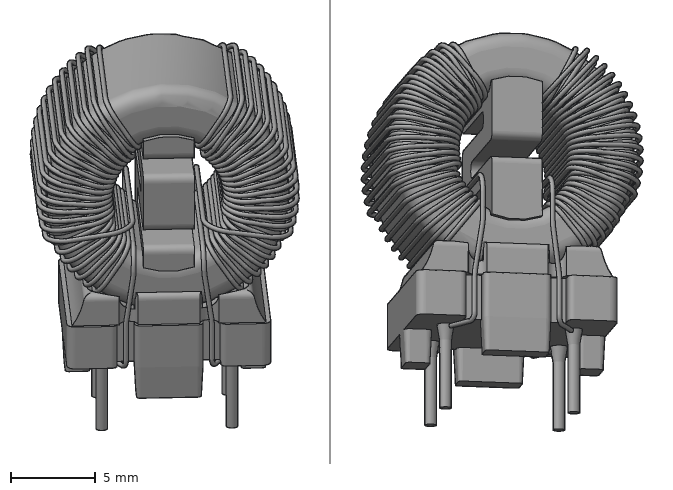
import cadquery as cq
import math


TURN_ABOUT_Z = -22.0
TOTAL_HEIGHT = 22.45

CORE_RADIUS = 14.3 / 2
BORE_RADIUS = 7.7 / 2
CORE_LENGTH = 9.5
CORE_FILLET = 1.0
AXIS_Z = TOTAL_HEIGHT - CORE_RADIUS
HALF_CORE = CORE_LENGTH / 2

BASE_BOTTOM = 5.0
BASE_TOP = 7.68
BASE_LENGTH = 10.6
BASE_WIDTH = 12.03
BASE_CORNER = 0.52
TAB_WIDTH = 4.05
TAB_CORNER = 0.34
SLOT_WIDTH = 1.03
SLOT_DEPTH = 1.0
SLOT_Y = (TAB_WIDTH + SLOT_WIDTH) / 2

FOOT_BOTTOM = 3.0
FOOT_TAPER = 3.0
END_FOOT_DEPTH = 1.66
SIDE_FOOT_LENGTH = 2.1
SIDE_FOOT_DEPTH = 1.66

PIN_RADIUS = 0.7 / 2
PIN_X = 2.5
PIN_Y = 3.85
SOLDER_RADIUS = 0.52
SOLDER_BOTTOM = 4.05

DIVIDER_LENGTH = 9.97
DIVIDER_THICKNESS = 3.0
DIVIDER_SLOT_HEIGHT = 1.0
DIVIDER_SLOT_DEPTH = 7.12
DIVIDER_LIP_RADIUS = 4.3
DIVIDER_SLOT_OFFSET = 2.27
SLOT_MOUTH_RADIUS = 0.45

GLUE_TOP = 9.59
GLUE_LENGTH = 10.2
GLUE_BOTTOM_WIDTH = 11.45
GLUE_TOP_WIDTH = 9.97
GLUE_TOP_FILLET = 0.4
GLUE_SAG = 0.13
CHANNEL_RADIUS = 0.56
CHANNEL_Y = 2.38

WIRE_RADIUS = 0.3 / 2
LAYER_GAP = 0.013
LAYER_STEP = 2 * WIRE_RADIUS + LAYER_GAP
INNER_TURNS = 22
INNER_START_ANGLE = -53.7
INNER_PITCH = 5.4
CROSSOVER_ANGLE = 62.2
OUTER_TURNS = 15
OUTER_START_ANGLE = 54.9
OUTER_PITCH = 5.2

LEAD_BEND = 1.23
LEAD_KINK_BEND = 3.37
LEAD_FOOT_BEND = 0.45
LEAD_KINK_Y = 2.09
LEAD_KINK_Z = 10.78
LEAD_BORE_Y = 2.09
LEAD_BORE_Z = 13.76
LEAD_FOOT_X = 4.92
LEAD_FOOT_Z = BASE_BOTTOM - WIRE_RADIUS


def make_core():
    ring = cq.Workplane("YZ", origin=(-HALF_CORE, 0, AXIS_Z))
    ring = ring.circle(CORE_RADIUS).circle(BORE_RADIUS).extrude(CORE_LENGTH)
    return ring.edges().fillet(CORE_FILLET)


def make_base():
    plate = (
        cq.Workplane("XY", origin=(0, 0, BASE_BOTTOM))
        .rect(BASE_LENGTH, BASE_WIDTH)
        .extrude(BASE_TOP - BASE_BOTTOM)
        .edges("|Z")
        .fillet(BASE_CORNER)
    )
    slots = (
        cq.Workplane("XY", origin=(0, 0, BASE_BOTTOM))
        .rect(BASE_LENGTH, 2 * SLOT_Y, forConstruction=True)
        .vertices()
        .rect(2 * SLOT_DEPTH, SLOT_WIDTH)
        .extrude(BASE_TOP - BASE_BOTTOM)
    )
    base = plate.cut(slots)
    middle_z = (BASE_BOTTOM + BASE_TOP) / 2
    for x in (-BASE_LENGTH / 2, BASE_LENGTH / 2):
        for slot_y in (-SLOT_Y, SLOT_Y):
            for edge_y in (slot_y - SLOT_WIDTH / 2, slot_y + SLOT_WIDTH / 2):
                mouth_edge = cq.NearestToPointSelector((x, edge_y, middle_z))
                base = base.edges(mouth_edge).fillet(TAB_CORNER)
    for side in (-1, 1):
        end_x = side * (BASE_LENGTH - END_FOOT_DEPTH) / 2
        side_y = side * (BASE_WIDTH - SIDE_FOOT_DEPTH) / 2
        base = base.union(make_foot(end_x, 0, END_FOOT_DEPTH, TAB_WIDTH))
        base = base.union(make_foot(0, side_y, SIDE_FOOT_LENGTH, SIDE_FOOT_DEPTH))
    return base


def make_foot(x, y, length, width):
    outline = cq.Sketch().rect(length, width).vertices().fillet(TAB_CORNER)
    foot = cq.Workplane("XY", origin=(x, y, BASE_BOTTOM)).placeSketch(outline)
    return foot.extrude(FOOT_BOTTOM - BASE_BOTTOM, taper=FOOT_TAPER)


def make_pin(x, y):
    """Round pin with a cone of solder at the underside of the base."""
    profile = [
        (0, 0),
        (PIN_RADIUS, 0),
        (PIN_RADIUS, SOLDER_BOTTOM),
        (SOLDER_RADIUS, BASE_BOTTOM),
        (0, BASE_BOTTOM),
    ]
    pin = cq.Workplane("XZ").polyline(profile).close().revolve(360, (0, 0, 0), (0, 1, 0))
    return pin.translate((x, y, 0))


def make_divider(core):
    """Plate across the bore, lipped over the core fillets and slotted from alternate ends."""
    plate = cq.Workplane("XY", origin=(0, 0, AXIS_Z))
    plate = plate.box(DIVIDER_LENGTH, DIVIDER_THICKNESS, 2 * DIVIDER_LIP_RADIUS)
    round_bar = cq.Workplane("YZ", origin=(-DIVIDER_LENGTH / 2, 0, AXIS_Z))
    round_bar = round_bar.circle(DIVIDER_LIP_RADIUS).extrude(DIVIDER_LENGTH)
    divider = plate.intersect(round_bar).cut(core)
    for end, height in ((-1, 0), (1, DIVIDER_SLOT_OFFSET), (1, -DIVIDER_SLOT_OFFSET)):
        divider = divider.cut(make_divider_slot(end, AXIS_Z + height))
    return divider


def make_divider_slot(end, z):
    """Slot with a full round floor and a rounded mouth, open towards the given end."""
    half = DIVIDER_SLOT_HEIGHT / 2
    mouth = half + SLOT_MOUTH_RADIUS
    face_x = end * DIVIDER_LENGTH / 2
    throat_x = face_x - end * SLOT_MOUTH_RADIUS
    floor_x = face_x - end * DIVIDER_SLOT_DEPTH
    blend = SLOT_MOUTH_RADIUS * (1 - math.sqrt(0.5))
    return (
        cq.Workplane("XZ", origin=(0, DIVIDER_THICKNESS / 2, 0))
        .moveTo(face_x, z + mouth)
        .threePointArc((face_x - end * blend, z + half + blend), (throat_x, z + half))
        .lineTo(floor_x + end * half, z + half)
        .threePointArc((floor_x, z), (floor_x + end * half, z - half))
        .lineTo(throat_x, z - half)
        .threePointArc((face_x - end * blend, z - half - blend), (face_x, z - mouth))
        .close()
        .extrude(DIVIDER_THICKNESS)
    )


def make_glue():
    """Glue bed with concave sides, moulded round the core and the lowest turns."""
    top = GLUE_TOP_WIDTH / 2
    bottom = GLUE_BOTTOM_WIDTH / 2
    middle = ((top + bottom) / 2 - GLUE_SAG, (BASE_TOP + GLUE_TOP) / 2)
    bed = (
        cq.Workplane("YZ", origin=(-GLUE_LENGTH / 2, 0, 0))
        .moveTo(-bottom, BASE_TOP)
        .lineTo(bottom, BASE_TOP)
        .threePointArc(middle, (top, GLUE_TOP))
        .lineTo(-top, GLUE_TOP)
        .threePointArc((-middle[0], middle[1]), (-bottom, BASE_TOP))
        .close()
        .extrude(GLUE_LENGTH)
    )
    bed = bed.edges(">Z").fillet(GLUE_TOP_FILLET)
    channels = (
        cq.Workplane("XY", origin=(0, 0, BASE_TOP))
        .rect(GLUE_LENGTH, 2 * CHANNEL_Y, forConstruction=True)
        .vertices()
        .circle(CHANNEL_RADIUS)
        .extrude(GLUE_TOP - BASE_TOP)
    )
    core_space = (
        cq.Workplane("YZ", origin=(-HALF_CORE, 0, AXIS_Z))
        .circle(CORE_RADIUS)
        .extrude(CORE_LENGTH)
        .edges()
        .fillet(CORE_FILLET)
    )
    return bed.cut(core_space).cut(channels).cut(make_winding_space())


def make_winding_space():
    """Room for the inner layer on both sides of the core, clear of its underside."""
    reach = HALF_CORE + LAYER_STEP
    ring = cq.Workplane("YZ", origin=(-reach, 0, AXIS_Z))
    ring = ring.circle(CORE_RADIUS + LAYER_STEP).extrude(2 * reach)
    ring = ring.edges().fillet(CORE_FILLET + LAYER_STEP)
    lowest = math.radians(INNER_START_ANGLE - INNER_PITCH)
    underside = cq.Workplane("XY", origin=(0, 0, AXIS_Z - CORE_RADIUS))
    underside = underside.box(2 * reach, 2 * BORE_RADIUS * math.cos(lowest), CORE_RADIUS)
    return ring.cut(underside)


def at_angle(side, x, radius, angle):
    """Point at an angle round the core axis, on the +Y or -Y side."""
    turn = math.radians(angle)
    return cq.Vector(x, side * radius * math.cos(turn), AXIS_Z + radius * math.sin(turn))


def layer_size(layer):
    """End plane, bore radius, outer radius and bend radius of a wire layer's centre line."""
    offset = (layer - 0.5) * LAYER_STEP
    return HALF_CORE + offset, BORE_RADIUS - offset, CORE_RADIUS + offset, CORE_FILLET + offset


def lead_corners(side, x):
    """Corners of a lead from the kink above the base down to its pin."""
    foot_x = math.copysign(LEAD_FOOT_X, x)
    pin = cq.Vector(math.copysign(PIN_X, x), side * PIN_Y, LEAD_FOOT_Z)
    elbow = cq.Vector(foot_x, side * SLOT_Y, LEAD_FOOT_Z)
    stop = pin + (elbow - pin).normalized() * SOLDER_RADIUS
    return [
        (cq.Vector(x, side * LEAD_KINK_Y, LEAD_KINK_Z), LEAD_KINK_BEND),
        (cq.Vector(foot_x, side * SLOT_Y, BASE_TOP), LEAD_KINK_BEND),
        (elbow, LEAD_FOOT_BEND),
        (stop, 0),
    ]


def winding_corners(side):
    """Corners of the wire: +X lead, inner layer upwards, outer layer downwards, -X lead."""
    end, bore, outside, bend = layer_size(1)
    corners = lead_corners(side, end)[::-1]
    for turn in range(INNER_TURNS):
        angle = INNER_START_ANGLE + turn * INNER_PITCH
        bore_angle = angle - INNER_PITCH / 2
        corners += [
            (at_angle(side, end, bore, bore_angle), bend if turn else LEAD_BEND),
            (at_angle(side, -end, bore, bore_angle), bend),
            (at_angle(side, -end, outside, angle), bend),
            (at_angle(side, end, outside, angle), bend),
        ]
    crossover_radius = bore
    corners.append((at_angle(side, end, crossover_radius, CROSSOVER_ANGLE), bend))

    end, bore, outside, bend = layer_size(2)
    corners.append((at_angle(side, -end, crossover_radius, CROSSOVER_ANGLE), bend))
    for turn in range(OUTER_TURNS):
        angle = OUTER_START_ANGLE - turn * OUTER_PITCH
        bore_angle = angle - OUTER_PITCH / 2
        corners += [
            (at_angle(side, -end, outside, angle), bend),
            (at_angle(side, end, outside, angle), bend),
        ]
        if turn < OUTER_TURNS - 1:
            corners += [
                (at_angle(side, end, bore, bore_angle), bend),
                (at_angle(side, -end, bore, bore_angle), bend),
            ]
    corners += [
        (cq.Vector(end, side * LEAD_BORE_Y, LEAD_BORE_Z), bend),
        (cq.Vector(-end, side * LEAD_BORE_Y, LEAD_BORE_Z), LEAD_BEND),
    ]
    return corners + lead_corners(side, -end)


def rounded_path(corners):
    """Wire through the corners, each rounded by an arc of its own radius."""
    points = [point for point, _ in corners]
    edges = []
    start = points[0]
    for before, (corner, radius), after in zip(points, corners[1:-1], points[2:]):
        back = (before - corner).normalized()
        ahead = (after - corner).normalized()
        half_angle = back.getAngle(ahead) / 2
        setback = radius / math.tan(half_angle)
        arc_start = corner + back * setback
        arc_end = corner + ahead * setback
        arc_middle = corner + (back + ahead).normalized() * (radius / math.sin(half_angle) - radius)
        edges.append(cq.Edge.makeLine(start, arc_start))
        edges.append(cq.Edge.makeThreePointArc(arc_start, arc_middle, arc_end))
        start = arc_end
    edges.append(cq.Edge.makeLine(start, points[-1]))
    return cq.Wire.assembleEdges(edges)


def make_winding(side):
    corners = winding_corners(side)
    start = corners[0][0]
    plane = cq.Plane(origin=start, normal=corners[1][0] - start)
    return cq.Workplane(plane).circle(WIRE_RADIUS).sweep(cq.Workplane(rounded_path(corners)))


core = make_core()
base = make_base()
divider = make_divider(core)
glue = make_glue()
windings = [make_winding(side) for side in (-1, 1)]
pins = [make_pin(x, y) for x in (-PIN_X, PIN_X) for y in (-PIN_Y, PIN_Y)]

bodies = [core, base, divider, glue, *windings, *pins]
choke = cq.Compound.makeCompound([body.val() for body in bodies])
result = choke.rotate(cq.Vector(0, 0, 0), cq.Vector(0, 0, 1), TURN_ABOUT_Z)